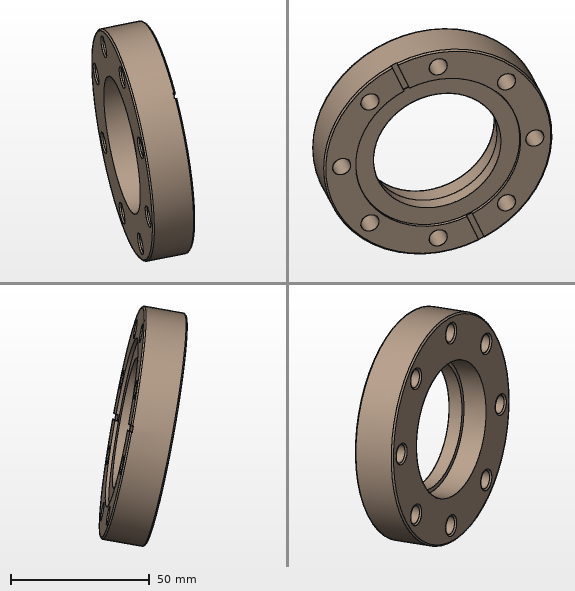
import cadquery as cq

outer_diameter = 85.6
thickness = 15.8
rim_chamfer = 0.6
bore_diameter = 47.8
counterbore_diameter = 50.8
counterbore_depth = 9.2

seat_diameter = 61.8
seat_depth = 1.3

hole_count = 8
hole_pitch = 360 / hole_count
hole_diameter = 6.8
countersink_diameter = 8.0
countersink_angle = 90
bolt_circle_diameter = 72.4

notch_width = 2.2
notch_depth = 0.85
seat_overlap = 0.85
notch_radial_length = (outer_diameter - seat_diameter) / 2 + seat_overlap
notch_angles = (hole_pitch / 2, hole_pitch / 2 + 180)

front_y = -thickness / 2
back_y = thickness / 2


def make_ring():
    disc = cq.Workplane("XZ", origin=(0, back_y, 0)).circle(outer_diameter / 2).extrude(thickness)
    disc = disc.faces("<Y or >Y").edges().chamfer(rim_chamfer)
    return disc.faces("<Y").workplane(centerOption="CenterOfBoundBox").cboreHole(
        bore_diameter, counterbore_diameter, counterbore_depth
    )


def cut_seat(body):
    seat = cq.Workplane("XZ", origin=(0, back_y, 0)).circle(seat_diameter / 2).extrude(seat_depth)
    return body.cut(seat)


def drill_bolt_holes(body):
    return (
        body.faces("<Y")
        .workplane(origin=(0, front_y, 0))
        .polarArray(bolt_circle_diameter / 2, 0, 360, hole_count)
        .cskHole(hole_diameter, countersink_diameter, countersink_angle)
    )


def make_notch(angle):
    notch = cq.Workplane("XY").box(notch_width, notch_depth, notch_radial_length)
    notch_center_z = (outer_diameter - notch_radial_length) / 2
    notch = notch.translate((0, back_y - notch_depth / 2, notch_center_z))
    return notch.rotate((0, 0, 0), (0, 1, 0), angle)


result = drill_bolt_holes(cut_seat(make_ring()))
for notch_angle in notch_angles:
    result = result.cut(make_notch(notch_angle))